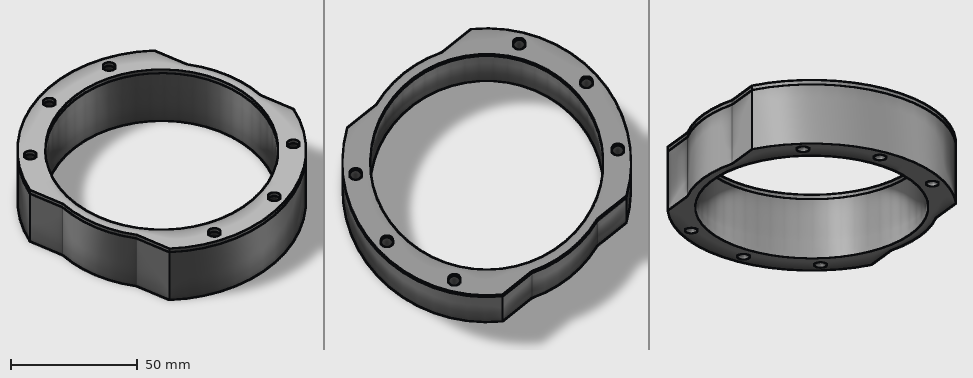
import cadquery as cq
import math

ring_diameter = 114.0
waist_diameter = 100.0
bore_diameter = 92.0
flat_spacing = 94.0
total_height = 28.0
cover_thickness = 2.0
housing_height = total_height - cover_thickness

hole_diameter = 5.0
hole_circle_radius = 52.0
hole_pitch_angle = 35.0
hole_angles = [
    side_angle + step * hole_pitch_angle
    for side_angle in (0.0, 180.0)
    for step in (-1, 0, 1)
]
hole_centres = [
    (
        hole_circle_radius * math.cos(math.radians(angle)),
        hole_circle_radius * math.sin(math.radians(angle)),
    )
    for angle in hole_angles
]


def make_ring(base_z, height):
    """Ring with flats at +Y and -Y, a round waist bulging past them, a bore and six holes."""
    base = cq.Workplane("XY", origin=(0, 0, base_z))
    flat_band = base.rect(ring_diameter, flat_spacing).extrude(height)
    waist = base.circle(waist_diameter / 2).extrude(height)
    bore = base.circle(bore_diameter / 2).extrude(height)
    holes = base.pushPoints(hole_centres).circle(hole_diameter / 2).extrude(height)

    ring = base.circle(ring_diameter / 2).extrude(height)
    return ring.intersect(flat_band).union(waist).cut(bore).cut(holes).solids()


housing = make_ring(0.0, housing_height)

cover = make_ring(housing_height, cover_thickness)

result = cq.Compound.makeCompound([housing.val(), cover.val()])